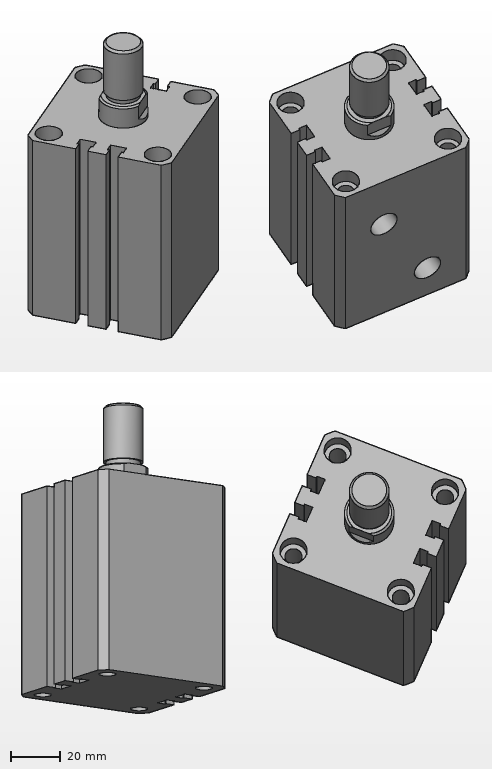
import cadquery as cq
import math


TOTAL_HEIGHT = 118.0

HOUSING_SIDE = 62.0
HOUSING_HEIGHT = 83.1
CORNER_DIAMETER = 83.1

MOUNT_SPACING = 47.0
MOUNT_DIAMETER = 6.8
COUNTERBORE_DIAMETER = 11.0
COUNTERBORE_DEPTH = 6.7

SLOT_SPACING = 13.1
SLOT_MOUTH_WIDTH = 5.2
SLOT_MOUTH_DEPTH = 4.0
SLOT_INNER_WIDTH = 6.8
SLOT_DEPTH = 7.5

PORT_MOUTH_DIAMETER = 12.0
PORT_FLOOR_DIAMETER = 11.1
PORT_DEPTH = 12.0
PORT_OFFSET = 10.0
LOWER_PORT_HEIGHT = 17.0
UPPER_PORT_HEIGHT = 56.0

COLLAR_DIAMETER = 20.1
COLLAR_HEIGHT = 9.7
COLLAR_CHAMFER_WIDTH = 1.0
COLLAR_CHAMFER_ANGLE = 30.0
NECK_DIAMETER = 14.0
NECK_HEIGHT = 2.2
THREAD_DIAMETER = 16.0
THREAD_CHAMFER = 1.0
FLATS_WIDTH = 17.0
FLATS_HEIGHT = 6.6

HALF_SIDE = HOUSING_SIDE / 2


def make_t_slot(center_x, side):
    """Cutter for one T-slot; side is -1 for the -Y face and +1 for the +Y face."""
    mouth = cq.Workplane("XY").box(
        SLOT_MOUTH_WIDTH, SLOT_MOUTH_DEPTH, HOUSING_HEIGHT, centered=(True, True, False)
    )
    mouth = mouth.translate((center_x, side * (HALF_SIDE - SLOT_MOUTH_DEPTH / 2), 0))
    inner_depth = SLOT_DEPTH - SLOT_MOUTH_DEPTH
    inner = cq.Workplane("XY").box(
        SLOT_INNER_WIDTH, inner_depth, HOUSING_HEIGHT, centered=(True, True, False)
    )
    inner = inner.translate((center_x, side * (HALF_SIDE - SLOT_DEPTH + inner_depth / 2), 0))
    return mouth.union(inner)


def make_port(center_y, height):
    """Conical cutter for one air port, entering from the -X face."""
    cone = cq.Solid.makeCone(
        PORT_MOUTH_DIAMETER / 2,
        PORT_FLOOR_DIAMETER / 2,
        PORT_DEPTH,
        pnt=cq.Vector(-HALF_SIDE, center_y, height),
        dir=cq.Vector(1, 0, 0),
    )
    return cq.Workplane(obj=cone)


def make_housing():
    housing = cq.Workplane("XY").box(
        HOUSING_SIDE, HOUSING_SIDE, HOUSING_HEIGHT, centered=(True, True, False)
    )
    corner_envelope = cq.Workplane("XY").circle(CORNER_DIAMETER / 2).extrude(HOUSING_HEIGHT)
    housing = housing.intersect(corner_envelope)

    housing = (
        housing.faces(">Z")
        .workplane(origin=(0, 0, HOUSING_HEIGHT))
        .rect(MOUNT_SPACING, MOUNT_SPACING, forConstruction=True)
        .vertices()
        .cboreHole(MOUNT_DIAMETER, COUNTERBORE_DIAMETER, COUNTERBORE_DEPTH)
    )

    for center_x in (-SLOT_SPACING / 2, SLOT_SPACING / 2):
        for side in (-1, 1):
            housing = housing.cut(make_t_slot(center_x, side))

    housing = housing.cut(make_port(-PORT_OFFSET, LOWER_PORT_HEIGHT))
    housing = housing.cut(make_port(PORT_OFFSET, UPPER_PORT_HEIGHT))
    return housing


def make_turned_rod():
    """Rod as a revolved profile: collar, neck and chamfered thread."""
    collar_radius = COLLAR_DIAMETER / 2
    neck_radius = NECK_DIAMETER / 2
    thread_radius = THREAD_DIAMETER / 2
    collar_top = HOUSING_HEIGHT + COLLAR_HEIGHT
    neck_top = collar_top + NECK_HEIGHT
    collar_chamfer_height = COLLAR_CHAMFER_WIDTH * math.tan(math.radians(COLLAR_CHAMFER_ANGLE))
    profile = [
        (0, HOUSING_HEIGHT),
        (collar_radius, HOUSING_HEIGHT),
        (collar_radius, collar_top - collar_chamfer_height),
        (collar_radius - COLLAR_CHAMFER_WIDTH, collar_top),
        (neck_radius, collar_top),
        (neck_radius, neck_top),
        (thread_radius, neck_top),
        (thread_radius, TOTAL_HEIGHT - THREAD_CHAMFER),
        (thread_radius - THREAD_CHAMFER, TOTAL_HEIGHT),
        (0, TOTAL_HEIGHT),
    ]
    return cq.Workplane("XZ").polyline(profile).close().revolve(360, (0, 0, 0), (0, 1, 0))


def make_flat_cutter():
    """Cutter for the wrench flat on the +X side of the collar, with its 45 degree run-out."""
    collar_radius = COLLAR_DIAMETER / 2
    flat_x = FLATS_WIDTH / 2
    collar_top = HOUSING_HEIGHT + COLLAR_HEIGHT
    flat_bottom = collar_top - FLATS_HEIGHT
    runout = collar_radius - flat_x
    profile = [
        (flat_x, collar_top),
        (flat_x, flat_bottom),
        (collar_radius, flat_bottom - runout),
        (collar_radius, collar_top),
    ]
    return cq.Workplane("XZ").polyline(profile).close().extrude(collar_radius, both=True)


def make_rod():
    flat_cutter = make_flat_cutter()
    rod = make_turned_rod().cut(flat_cutter)
    return rod.cut(flat_cutter.mirror("YZ"))


housing = make_housing().solids()
rod = make_rod().solids()

result = cq.Compound.makeCompound([housing.val(), rod.val()])